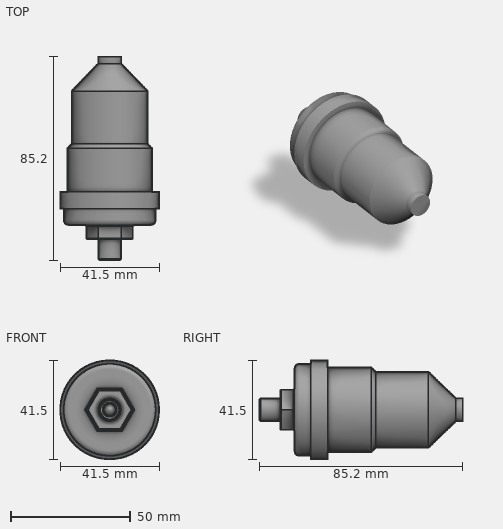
import cadquery as cq
import math

total_length = 85.2
stem_tip = -total_length / 2
nozzle_end = total_length / 2

stem_diameter = 9.5
cap_diameter = 38.5
flange_diameter = 41.5
barrel_diameter = 35.5
sleeve_diameter = 31.9
nozzle_diameter = 9.7

stem_length = 8.6
hex_length = 6.05
cap_length = 6.9
flange_length = 7.0
barrel_length = 18.2
nose_length = 11.5
nozzle_length = 3.0

stem_chamfer = 0.5
cap_fillet = 2.1

hex_across_flats = 16.9
hex_end_chamfer = 0.5
hex_base_flare = 0.5

countersink_diameter = 7.9
bore_diameter = 6.0
bore_depth = 8.5
point_diameter = 5.0
point_height = 1.7

hex_start = stem_tip + stem_length
cap_start = hex_start + hex_length
flange_start = cap_start + cap_length
barrel_start = flange_start + flange_length
shoulder_start = barrel_start + barrel_length
sleeve_start = shoulder_start + (barrel_diameter - sleeve_diameter) / 2
nozzle_start = nozzle_end - nozzle_length
nose_start = nozzle_start - nose_length


def revolve_profile(profile):
    return profile.close().revolve(360, (0, 0, 0), (0, 1, 0))


def make_body():
    stem_radius = stem_diameter / 2
    cap_radius = cap_diameter / 2
    flange_radius = flange_diameter / 2
    barrel_radius = barrel_diameter / 2
    sleeve_radius = sleeve_diameter / 2
    nozzle_radius = nozzle_diameter / 2
    return revolve_profile(
        cq.Workplane("XY")
        .moveTo(0, stem_tip)
        .lineTo(stem_radius - stem_chamfer, stem_tip)
        .lineTo(stem_radius, stem_tip + stem_chamfer)
        .lineTo(stem_radius, cap_start)
        .lineTo(cap_radius - cap_fillet, cap_start)
        .radiusArc((cap_radius, cap_start + cap_fillet), -cap_fillet)
        .lineTo(cap_radius, flange_start)
        .lineTo(flange_radius, flange_start)
        .lineTo(flange_radius, barrel_start)
        .lineTo(barrel_radius, barrel_start)
        .lineTo(barrel_radius, shoulder_start)
        .lineTo(sleeve_radius, sleeve_start)
        .lineTo(sleeve_radius, nose_start)
        .lineTo(nozzle_radius, nozzle_start)
        .lineTo(nozzle_radius, nozzle_end)
        .lineTo(0, nozzle_end)
    )


def hex_section(y, across_flats):
    """Hexagon sketch facing -Y at the given station, with corners on the X axis."""
    across_corners = across_flats / math.cos(math.radians(30))
    return cq.Workplane("XZ", origin=(0, y, 0)).polygon(6, across_corners)


def make_hex_collar():
    prism = hex_section(cap_start, hex_across_flats).extrude(hex_length)
    prism = prism.faces("<Y").chamfer(hex_end_chamfer)
    flare_across_flats = hex_across_flats + 2 * hex_base_flare
    flare = hex_section(cap_start, flare_across_flats).extrude(hex_base_flare, taper=45)
    return prism.union(flare)


def make_bore():
    """Space removed from the stem, leaving the conical point standing on the floor."""
    bore_radius = bore_diameter / 2
    countersink_radius = countersink_diameter / 2
    floor = stem_tip + bore_depth
    return revolve_profile(
        cq.Workplane("XY")
        .moveTo(0, stem_tip)
        .lineTo(countersink_radius, stem_tip)
        .lineTo(bore_radius, stem_tip + countersink_radius - bore_radius)
        .lineTo(bore_radius, floor)
        .lineTo(point_diameter / 2, floor)
        .lineTo(0, floor - point_height)
    )


result = make_body().union(make_hex_collar()).cut(make_bore())